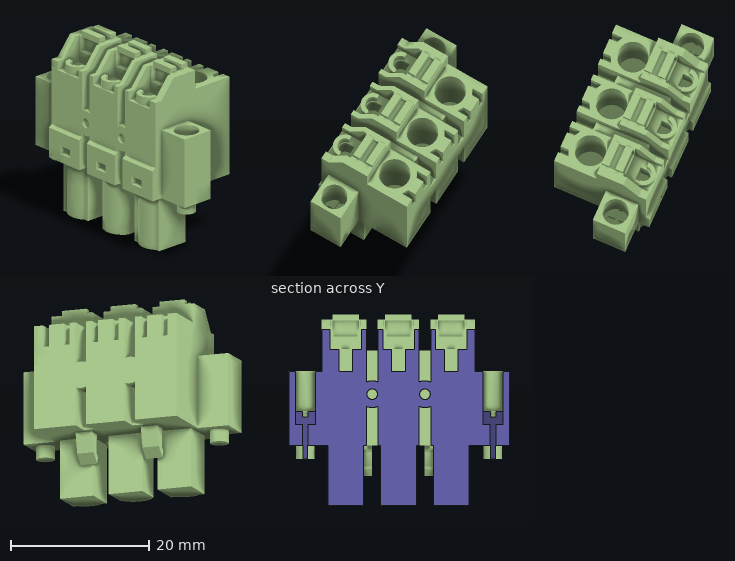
import cadquery as cq


overall_width = 31.92
pole_pitch = 7.63
row_center = -0.1
pole_places = [row_center - pole_pitch, row_center, row_center + pole_pitch]
gap_places = [row_center - pole_pitch / 2, row_center + pole_pitch / 2]

body_width = 22.22
body_depth = 14.52
rear_height = 15.32
tower_height = 18.25
tower_back = 7.8
slope_top_y = 3.58
slope_bottom_y = 1.2
foot_depth = 0.5
foot_height = 4.7
foot_top = 5.1

gap_width = 1.63
web_height = 13.73
web_front = 3.0
web_back = 11.4
bridge_height = 7.47
bridge_radius = 1.98
bridge_hole_radius = 0.75
bridge_hole_depth = 2.55

ear_depth = 5.1
ear_height = 10.75
axis_y = 3.77
screw_spacing = 27.13
screw_places = [-screw_spacing / 2, screw_spacing / 2]
screw_head_radius = 1.9
screw_head_height = 1.9
screw_seat = 3.1
shank_radius = 1.37
shank_reach = 1.9
long_slot_width = 0.6
short_slot_width = 0.83
screw_slot_depth = 0.8

wire_hole_y = 10.3
wire_hole_radius = 2.3
wire_hole_depth = 9.58
notch_outer_x = 2.07
notch_inner_x = 1.15
notch_outer_depth = 1.7
notch_inner_depth = 1.2
notch_height = 3.2

recess_width = 4.47
recess_depth = 4.2
recess_floor = 13.98
socket_y = 1.88
socket_radius = 0.95
socket_depth = 3.2
collar_outer_radius = 1.75
collar_inner_radius = 1.12

lever_width = 3.83
lever_seat = 15.8
lever_top = 19.0
lever_back = 7.7
ridge_thickness = 1.12
ridge_front = 4.45
ridge_underside = 18.07
lever_face = 5.08

window_width = 2.05
window_height = 1.25
window_bottom = 1.3
window_depth = 0.8
sleeve_length = 8.68
sleeve_width = 5.25
sleeve_radius = 2.95
sleeve_shoulder_y = 1.53
hook_width = 2.55


def block(x_range, y_range, z_range):
    """Axis-aligned box given by its limits on each axis."""
    size = [high - low for low, high in (x_range, y_range, z_range)]
    corner = (x_range[0], y_range[0], z_range[0])
    return cq.Workplane("XY").box(*size, centered=False).translate(corner)


def centered_range(middle, width):
    return (middle - width / 2, middle + width / 2)


def post(x, y, radius, z_range):
    """Upright cylinder between two heights."""
    base = cq.Workplane("XY", origin=(x, y, z_range[0]))
    return base.circle(radius).extrude(z_range[1] - z_range[0])


def front_post(x, z, radius, y_range):
    """Cylinder along Y between two depths."""
    base = cq.Workplane("XZ", origin=(x, y_range[0], z))
    return base.circle(radius).extrude(y_range[0] - y_range[1])


def side_profile(points, x_range):
    """Outline of (y, z) points extruded along X."""
    base = cq.Workplane("YZ", origin=(x_range[0], 0, 0))
    return base.polyline(points).close().extrude(x_range[1] - x_range[0])


def make_body():
    outline = [
        (-foot_depth, 0),
        (body_depth, 0),
        (body_depth, rear_height),
        (tower_back, rear_height),
        (tower_back, tower_height),
        (slope_top_y, tower_height),
        (slope_bottom_y, rear_height),
        (0, rear_height),
        (0, foot_top),
        (-foot_depth, foot_height),
    ]
    return side_profile(outline, centered_range(row_center, body_width))


def make_gap(x):
    """Space between two poles, leaving a web and a round bridge at the front and at the back."""
    x_range = centered_range(x, gap_width)
    above_web = block(x_range, (-foot_depth, body_depth), (web_height, tower_height))
    front_slot = block(x_range, (-foot_depth, web_front), (0, web_height))
    back_slot = block(x_range, (web_back, body_depth), (0, web_height))
    bridge = front_post(x, bridge_height, bridge_radius, (0, body_depth))
    return above_web.union(front_slot).union(back_slot).cut(bridge)


def make_bridge_hole(x):
    return front_post(x, bridge_height, bridge_hole_radius, (0, bridge_hole_depth))


def make_ear(side):
    """Mounting ear on the left (side = -1) or the right (side = 1)."""
    outer_side = side * overall_width / 2
    body_side = row_center + side * body_width / 2
    x_range = (min(outer_side, body_side), max(outer_side, body_side))
    return block(x_range, centered_range(axis_y, ear_depth), (0, ear_height))


def make_screw_hole(x):
    head_space = post(x, axis_y, screw_head_radius, (screw_seat, ear_height))
    return head_space.union(post(x, axis_y, shank_radius, (0, screw_seat)))


def make_wire_entry(x):
    return post(x, wire_hole_y, wire_hole_radius, (rear_height - wire_hole_depth, rear_height))


def make_rear_notch(x, side):
    """Notch in the back wall, deeper at its outer side."""
    inner_x = x + side * notch_inner_x
    outer_x = x + side * notch_outer_x
    outline = [
        (inner_x, body_depth),
        (outer_x, body_depth),
        (outer_x, body_depth - notch_outer_depth),
        (inner_x, body_depth - notch_inner_depth),
    ]
    floor = cq.Workplane("XY", origin=(0, 0, rear_height - notch_height))
    return floor.polyline(outline).close().extrude(notch_height)


def make_recess(x):
    return block(centered_range(x, recess_width), (0, recess_depth), (recess_floor, tower_height))


def make_lever_slot(x):
    return block(centered_range(x, lever_width), (recess_depth, lever_back), (lever_seat, tower_height))


def make_socket(x):
    """Blind hole that is round at the front and square at the back."""
    z_range = (recess_floor - socket_depth, recess_floor)
    square = block(centered_range(x, 2 * socket_radius), (socket_y, socket_y + socket_radius), z_range)
    return square.union(post(x, socket_y, socket_radius, z_range))


def make_collar(x):
    """Half ring around the front of the socket."""
    z_range = (recess_floor, rear_height)
    ring = post(x, socket_y, collar_outer_radius, z_range)
    ring = ring.cut(post(x, socket_y, collar_inner_radius, z_range))
    back_half = block(
        centered_range(x, 2 * collar_outer_radius), (socket_y, socket_y + collar_outer_radius), z_range
    )
    return ring.cut(back_half)


def make_window(x):
    return block(
        centered_range(x, window_width),
        (-foot_depth, window_depth - foot_depth),
        (window_bottom, window_bottom + window_height),
    )


def make_sleeve(x):
    """Plug sleeve under a pole: rounded front; the outer poles also have square front shoulders."""
    z_range = (-sleeve_length, 0)
    x_range = centered_range(x, sleeve_width)
    back_y = axis_y + sleeve_radius
    strip = block(x_range, (axis_y - sleeve_radius, back_y), z_range)
    rounded = post(x, axis_y, sleeve_radius, z_range).intersect(strip)
    square_start = axis_y if x == row_center else sleeve_shoulder_y
    return rounded.union(block(x_range, (square_start, back_y), z_range))


def make_hook(side):
    """Latch hook whose inner side lies at the middle of a gap."""
    outline = [
        (10.28, 0),
        (8.15, 0),
        (8.43, -0.9),
        (8.43, -2.8),
        (7.9, -3.38),
        (8.25, -4.37),
        (9.58, -2.97),
    ]
    middle_x = row_center + side * (pole_pitch + hook_width) / 2
    return side_profile(outline, centered_range(middle_x, hook_width))


def make_housing():
    housing = make_body()
    for side in (-1, 1):
        housing = housing.union(make_ear(side)).union(make_hook(side))
    for x in gap_places:
        housing = housing.cut(make_gap(x)).cut(make_bridge_hole(x))
    for x in screw_places:
        housing = housing.cut(make_screw_hole(x))
    for x in pole_places:
        housing = housing.union(make_sleeve(x))
        housing = housing.cut(make_wire_entry(x)).cut(make_window(x))
        housing = housing.cut(make_rear_notch(x, -1)).cut(make_rear_notch(x, 1))
        housing = housing.cut(make_recess(x)).cut(make_lever_slot(x))
        housing = housing.union(make_collar(x)).cut(make_socket(x))
    return housing


def make_lever(x):
    groove_front = ridge_front + ridge_thickness
    groove_back = lever_back - ridge_thickness
    groove_radius = (groove_back - groove_front) / 2
    groove_bottom = (groove_front + groove_radius, tower_height - groove_radius)
    outline = (
        cq.Workplane("YZ", origin=(x - lever_width / 2, 0, 0))
        .moveTo(lever_face, lever_seat)
        .lineTo(lever_face, ridge_underside)
        .lineTo(ridge_front, ridge_underside)
        .lineTo(ridge_front, lever_top)
        .lineTo(groove_front, lever_top)
        .lineTo(groove_front, tower_height)
        .threePointArc(groove_bottom, (groove_back, tower_height))
        .lineTo(groove_back, lever_top)
        .lineTo(lever_back, lever_top)
        .lineTo(lever_back, lever_seat)
        .close()
    )
    return outline.extrude(lever_width)


def make_screw(x):
    head_top = screw_seat + screw_head_height
    slot_range = (head_top - screw_slot_depth, head_top)
    head = post(x, axis_y, screw_head_radius, (screw_seat, head_top))
    shank = post(x, axis_y, shank_radius, (-shank_reach, screw_seat))
    across_head = centered_range(axis_y, 2 * screw_head_radius)
    long_slot = block(
        centered_range(x, 2 * screw_head_radius), centered_range(axis_y, long_slot_width), slot_range
    )
    short_slot = block(centered_range(x, short_slot_width), across_head, slot_range)
    short_slot = short_slot.intersect(post(x, axis_y, shank_radius, slot_range))
    return head.union(shank).cut(long_slot).cut(short_slot)


housing = make_housing()
levers = [make_lever(x) for x in pole_places]
screws = [make_screw(x) for x in screw_places]

bodies = [housing, *levers, *screws]
result = cq.Compound.makeCompound([body.val() for body in bodies])